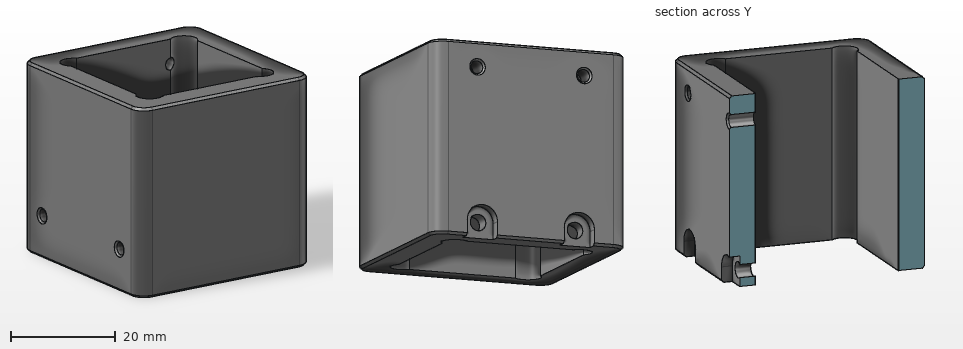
import cadquery as cq

SIDE = 40.0
HEIGHT = 37.95
CORNER_RADIUS = 3.0
EDGE_CHAMFER = 0.5

OPENING = 29.2
RELIEF_RADIUS = 2.6
RELIEF_OFFSET = 12.8

SCREW_DIAMETER = 2.46
COUNTERSINK_DIAMETER = 3.2
COUNTERSINK_ANGLE = 90.0
FRONT_SCREW_X = 13.0
FRONT_SCREW_Z = 8.45
SIDE_SCREW_Y = 11.0
SIDE_SCREW_Z = HEIGHT - 5.0

NOTCH_RADIUS = 3.1
NOTCH_DEPTH = 2.2
NOTCH_Y = 10.0
NOTCH_Z = 3.1
CLEARANCE_DIAMETER = 3.2

HALF_SIDE = SIDE / 2
WALL = (SIDE - OPENING) / 2

FRONT_FACE = cq.Plane(origin=(0, -HALF_SIDE, 0), xDir=(1, 0, 0), normal=(0, -1, 0))
LEFT_FACE = cq.Plane(origin=(-HALF_SIDE, 0, 0), xDir=(0, -1, 0), normal=(-1, 0, 0))


def mirrored_pair(offset, height):
    """Two points at the same height, either side of the face centreline."""
    return [(-offset, height), (offset, height)]


def make_body():
    """Square block with rounded upright edges and chamfered ends."""
    block = cq.Workplane("XY").rect(SIDE, SIDE).extrude(HEIGHT)
    return block.edges("|Z").fillet(CORNER_RADIUS).faces("<Z or >Z").chamfer(EDGE_CHAMFER)


def make_opening():
    """Square through opening with a round relief in each corner."""
    square = cq.Workplane("XY").rect(OPENING, OPENING).extrude(HEIGHT)
    reliefs = (
        cq.Workplane("XY")
        .rect(2 * RELIEF_OFFSET, 2 * RELIEF_OFFSET, forConstruction=True)
        .vertices()
        .circle(RELIEF_RADIUS)
        .extrude(HEIGHT)
    )
    return square.union(reliefs)


def drill_screw_holes(part, face, offset, height):
    """Two countersunk holes through one wall."""
    return (
        part.copyWorkplane(cq.Workplane(face))
        .pushPoints(mirrored_pair(offset, height))
        .cskHole(SCREW_DIAMETER, COUNTERSINK_DIAMETER, COUNTERSINK_ANGLE, depth=WALL)
    )


def make_notches():
    """Two notches, open at the bottom, each with a hole through the wall."""
    centres = mirrored_pair(NOTCH_Y, NOTCH_Z)
    feet = mirrored_pair(NOTCH_Y, NOTCH_Z / 2)
    arches = cq.Workplane(LEFT_FACE).pushPoints(centres).circle(NOTCH_RADIUS).extrude(-NOTCH_DEPTH)
    slots = cq.Workplane(LEFT_FACE).pushPoints(feet).rect(2 * NOTCH_RADIUS, NOTCH_Z).extrude(-NOTCH_DEPTH)
    holes = cq.Workplane(LEFT_FACE).pushPoints(centres).circle(CLEARANCE_DIAMETER / 2).extrude(-WALL)
    return arches.union(slots).union(holes)


body = make_body().cut(make_opening())
body = drill_screw_holes(body, FRONT_FACE, FRONT_SCREW_X, FRONT_SCREW_Z)
body = drill_screw_holes(body, LEFT_FACE, SIDE_SCREW_Y, SIDE_SCREW_Z)
result = body.cut(make_notches())